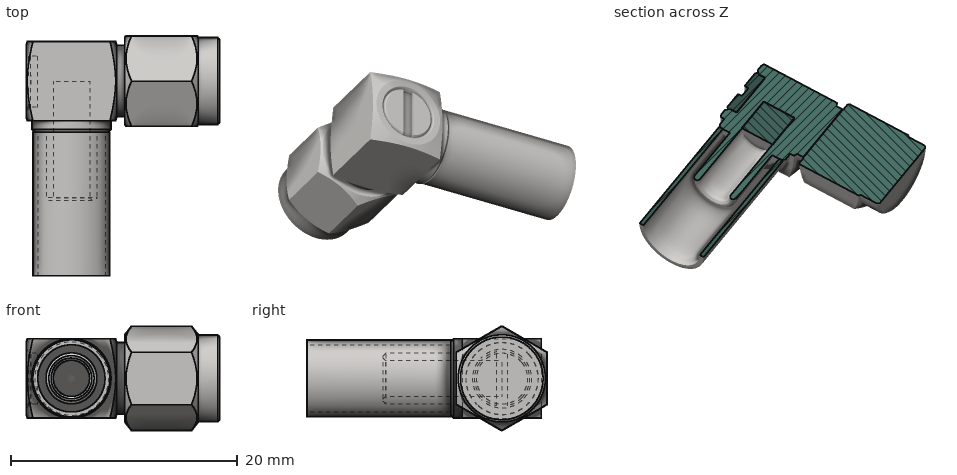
import cadquery as cq
import math


block_length = 8.0
block_width = 7.0
block_end_radius = 3.2
block_bevel_length = 0.6
neck_length = 0.7
neck_radius = 3.175

collar_length = 1.0
collar_chamfer = 0.25
spigot_length = 6.0
spigot_radius = 2.25
spigot_chamfer = 0.25
bore_radius = 1.6
bore_chamfer = 0.2

nut_length = 8.4
hex_length = 6.5
hex_across_flats = 8.0
nut_collar_radius = 3.85
nut_collar_chamfer = 0.2
hex_bevel_length = 0.6

ferrule_length = 12.7
ferrule_outer_radius = 3.4
ferrule_inner_radius = 2.97

cap_radius = 2.25
cap_depth = 1.0
cap_countersink = 0.35
cap_edge_chamfer = cap_countersink / 2
slot_width = 1.0
slot_depth = 0.4

block_back = -block_length / 2
block_front = block_length / 2
nut_back = block_front + neck_length
collar_start = block_width / 2
collar_radius = block_width / 2
collar_end = collar_start + collar_length
spigot_end = collar_end + spigot_length
block_corner_radius = block_width / math.sqrt(2)
hex_corner_radius = hex_across_flats / math.sqrt(3)


def turned_on_x(points):
    """Revolve an (x, radius) outline about the X axis."""
    return cq.Workplane("XY").polyline(points).close().revolve(360, (0, 0), (1, 0))


def turned_on_y(points):
    """Revolve a (radius, distance toward -Y) outline about the Y axis."""
    outline = [(radius, -distance) for radius, distance in points]
    return cq.Workplane("XY").polyline(outline).close().revolve(360, (0, 0), (0, 1))


def bevelled_envelope(start, length, end_radius, corner_radius, bevel_length):
    """Turned body with conical ends, used to bevel the ends of a prism lying on X."""
    end = start + length
    return turned_on_x([
        (start, 0),
        (start, end_radius),
        (start + bevel_length, corner_radius),
        (end - bevel_length, corner_radius),
        (end, end_radius),
        (end, 0),
    ])


def make_cap_blank():
    """Countersunk plug that fills the recess in the back of the block."""
    return turned_on_x([
        (block_back, 0),
        (block_back, cap_radius + cap_countersink),
        (block_back + cap_countersink, cap_radius),
        (block_back + cap_depth, cap_radius),
        (block_back + cap_depth, 0),
    ])


def make_cap():
    rim_radius = cap_radius + cap_countersink - cap_edge_chamfer
    trim = turned_on_x([
        (block_back, 0),
        (block_back, rim_radius - cap_edge_chamfer),
        (block_back + cap_edge_chamfer, rim_radius),
        (block_back + cap_depth, rim_radius),
        (block_back + cap_depth, 0),
    ])
    slot = cq.Workplane("XY").box(2 * slot_depth, slot_width, block_width)
    return make_cap_blank().intersect(trim).cut(slot.translate((block_back, 0, 0)))


def make_housing():
    block = cq.Workplane("XY").box(block_length, block_width, block_width).intersect(
        bevelled_envelope(block_back, block_length, block_end_radius,
                          block_corner_radius, block_bevel_length))
    neck = cq.Workplane("YZ").workplane(offset=block_front).circle(neck_radius).extrude(neck_length)
    post = turned_on_y([
        (0, 0),
        (spigot_radius, 0),
        (spigot_radius, collar_start),
        (collar_radius, collar_start),
        (collar_radius, collar_end - collar_chamfer),
        (collar_radius - collar_chamfer, collar_end),
        (spigot_radius, collar_end),
        (spigot_radius, spigot_end - spigot_chamfer),
        (spigot_radius - spigot_chamfer, spigot_end),
        (0, spigot_end),
    ])
    bore = turned_on_y([
        (0, 0),
        (bore_radius, 0),
        (bore_radius, spigot_end - bore_chamfer),
        (bore_radius + bore_chamfer, spigot_end),
        (0, spigot_end),
    ])
    return block.union(neck).union(post).cut(bore).cut(make_cap_blank())


def make_insulator():
    """Plug that closes the bore inside the block, below the hollow spigot."""
    return turned_on_y([
        (0, 0),
        (bore_radius, 0),
        (bore_radius, collar_start),
        (0, collar_start),
    ])


def make_nut():
    hexagon = (
        cq.Workplane("YZ").workplane(offset=nut_back)
        .transformed(rotate=(0, 0, 90))
        .polygon(6, 2 * hex_corner_radius)
        .extrude(hex_length)
        .intersect(bevelled_envelope(nut_back, hex_length, nut_collar_radius,
                                     hex_corner_radius, hex_bevel_length))
    )
    collar = (
        cq.Workplane("YZ").workplane(offset=nut_back + hex_length)
        .circle(nut_collar_radius)
        .extrude(nut_length - hex_length)
        .faces(">X").chamfer(nut_collar_chamfer)
    )
    return hexagon.union(collar)


def make_ferrule():
    end = collar_end + ferrule_length
    return turned_on_y([
        (ferrule_inner_radius, collar_end),
        (ferrule_outer_radius, collar_end),
        (ferrule_outer_radius, end),
        (ferrule_inner_radius, end),
    ])


housing = make_housing()
insulator = make_insulator()
cap = make_cap()
nut = make_nut()
ferrule = make_ferrule()

result = cq.Compound.makeCompound([
    housing.solids().val(),
    insulator.solids().val(),
    cap.solids().val(),
    nut.solids().val(),
    ferrule.solids().val(),
])